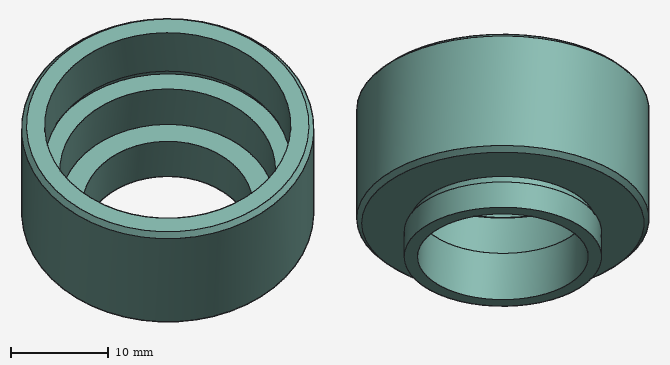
import cadquery as cq

body_diameter = 30.0
total_height = 18.0
edge_chamfer = 0.5

flange_diameter = 20.25
flange_height = 3.0
neck_diameter = 19.1
neck_height = 1.0
body_bottom = flange_height + neck_height

through_diameter = 17.52
seat_diameter = 22.15
seat_depth = 12.5
socket_diameter = 25.25
socket_depth = 7.0

undercut_diameter = 26.25
undercut_height = 1.0


def disc(diameter, bottom, top):
    """Solid cylinder on the Z axis between two heights."""
    return cq.Workplane("XY").workplane(offset=bottom).circle(diameter / 2).extrude(top - bottom)


body = disc(body_diameter, body_bottom, total_height).faces("<Z or >Z").chamfer(edge_chamfer)
neck = disc(neck_diameter, 0, body_bottom)
flange = disc(flange_diameter, 0, flange_height)
outside = body.union(neck).union(flange)

socket_floor = total_height - socket_depth
through_hole = disc(through_diameter, 0, total_height)
seat = disc(seat_diameter, total_height - seat_depth, total_height)
socket = disc(socket_diameter, socket_floor, total_height)
undercut = disc(undercut_diameter, socket_floor, socket_floor + undercut_height)

result = outside.cut(through_hole).cut(seat).cut(socket).cut(undercut)